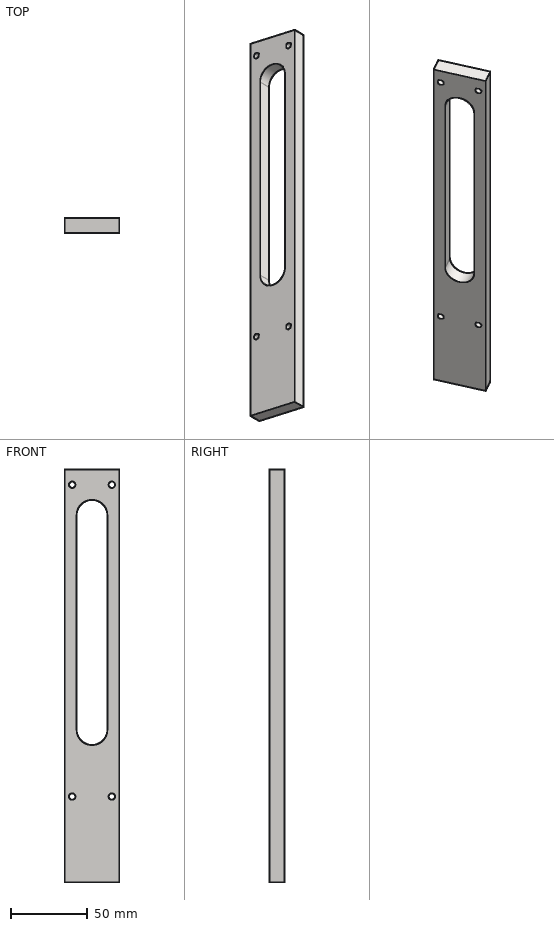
import cadquery as cq

width = 36.0
thickness = 10.0
height = 270.0

slot_width = 20.0
slot_length = 160.0
slot_top_margin = 20.0

hole_diameter = 4.0
hole_spacing = 26.0
upper_hole_margin = 10.0
lower_hole_margin = 213.8

top = height / 2
slot_center_z = top - slot_top_margin - slot_length / 2
hole_points = [
    (side * hole_spacing / 2, top - margin)
    for side in (-1, 1)
    for margin in (upper_hole_margin, lower_hole_margin)
]

plate = cq.Workplane("XY").box(width, thickness, height)

slot = (
    cq.Workplane("XZ")
    .center(0, slot_center_z)
    .slot2D(slot_length, slot_width, 90)
    .extrude(thickness, both=True)
)
holes = (
    cq.Workplane("XZ")
    .pushPoints(hole_points)
    .circle(hole_diameter / 2)
    .extrude(thickness, both=True)
)

result = plate.cut(slot).cut(holes)